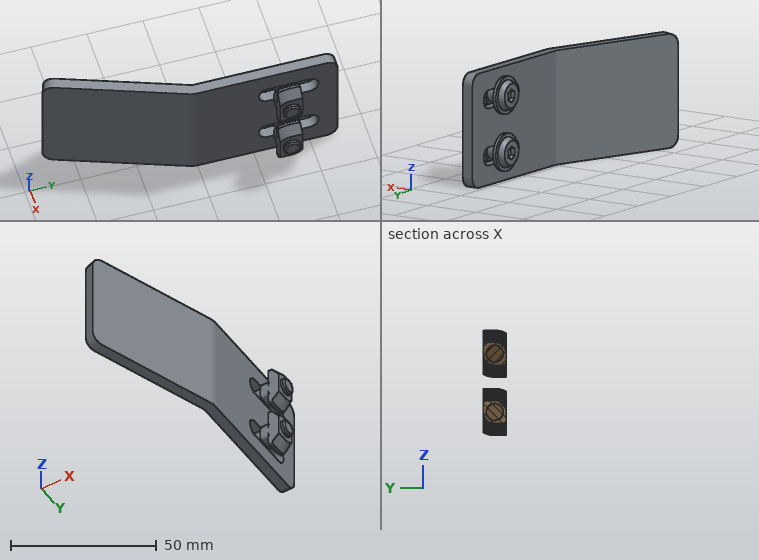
import cadquery as cq
import math


OVERALL_LENGTH = 100.3
PLATE_WIDTH = 40.0
PLATE_THICKNESS = 4.0
FLAT_LENGTH = 50.0
BEND_ANGLE = 20.0
BEND_INNER_RADIUS = 4.0
CORNER_RADIUS = 4.0

SLOT_WIDTH = 6.4
SLOT_FIRST_CENTER = 10.0
SLOT_LAST_CENTER = 25.0
ROW_SPACING = 20.0

SCREW_FROM_END = 19.1
SHANK_DIAMETER = 6.0
SHANK_LENGTH = 14.0
TIP_DIAMETER = 4.9
TIP_CHAMFER_LENGTH = 0.6
FLANGE_DIAMETER = 13.2
FLANGE_THICKNESS = 1.2
HEAD_BASE_DIAMETER = 10.7
HEAD_TOP_DIAMETER = 8.5
HEAD_HEIGHT = 3.2
HEAD_BULGE = 0.2
SOCKET_ACROSS_FLATS = 4.0
SOCKET_DEPTH = 1.8

NUT_GAP = 0.9
NUT_LENGTH = 16.0
NUT_WIDTH = 8.0
NECK_LENGTH = 3.2
NECK_CORNER_RADIUS = 1.2
WING_THICKNESS = 4.4
WING_EDGE_THICKNESS = 1.4
WING_CORNER_RADIUS = 0.6
TOOTH_COUNT = 8
TOOTH_DEPTH = 0.4

HALF_NUT_WIDTH = NUT_WIDTH / 2
HALF_NUT_LENGTH = NUT_LENGTH / 2
TOOTH_PITCH = NUT_WIDTH / TOOTH_COUNT
ROW_HEIGHTS = (-ROW_SPACING / 2, ROW_SPACING / 2)


def make_plate():
    angle = math.radians(BEND_ANGLE)
    bend_outer_radius = BEND_INNER_RADIUS + PLATE_THICKNESS

    def bend_point(radius, turn):
        """Point on the bend arc of the given radius; the bend center lies on the head side."""
        x = -BEND_INNER_RADIUS + radius * math.cos(turn)
        y = -FLAT_LENGTH - radius * math.sin(turn)
        return x, y

    inner_end = bend_point(BEND_INNER_RADIUS, angle)
    outer_end = bend_point(bend_outer_radius, angle)
    arm_length = (OVERALL_LENGTH + outer_end[1]) / math.cos(angle)
    arm_x = -arm_length * math.sin(angle)
    arm_y = -arm_length * math.cos(angle)

    plate = (
        cq.Workplane("XY")
        .moveTo(0, 0)
        .lineTo(0, -FLAT_LENGTH)
        .threePointArc(bend_point(BEND_INNER_RADIUS, angle / 2), inner_end)
        .line(arm_x, arm_y)
        .lineTo(outer_end[0] + arm_x, outer_end[1] + arm_y)
        .lineTo(*outer_end)
        .threePointArc(bend_point(bend_outer_radius, angle / 2), (PLATE_THICKNESS, -FLAT_LENGTH))
        .lineTo(PLATE_THICKNESS, 0)
        .close()
        .extrude(PLATE_WIDTH / 2, both=True)
    )

    flat_end_corners = plate.faces(">Y").edges("|X")
    arm_end_corners = plate.faces("<Y").edges("#Z")
    plate = plate.newObject(flat_end_corners.vals() + arm_end_corners.vals()).fillet(CORNER_RADIUS)

    slot_travel = SLOT_LAST_CENTER - SLOT_FIRST_CENTER
    slot_middle = (SLOT_FIRST_CENTER + SLOT_LAST_CENTER) / 2
    slots = (
        cq.Workplane("YZ")
        .pushPoints([(-slot_middle, z) for z in ROW_HEIGHTS])
        .slot2D(slot_travel + SLOT_WIDTH, SLOT_WIDTH)
        .extrude(PLATE_THICKNESS)
    )
    return plate.cut(slots)


def make_screw():
    """Screw on the X axis, with the underside of its flange at X = 0."""
    head_mid_radius = (HEAD_BASE_DIAMETER + HEAD_TOP_DIAMETER) / 4 + HEAD_BULGE
    head_mid_x = -(FLANGE_THICKNESS + HEAD_HEIGHT) / 2
    screw = (
        cq.Workplane("XY")
        .moveTo(-HEAD_HEIGHT, 0)
        .lineTo(-HEAD_HEIGHT, HEAD_TOP_DIAMETER / 2)
        .threePointArc((head_mid_x, head_mid_radius), (-FLANGE_THICKNESS, HEAD_BASE_DIAMETER / 2))
        .lineTo(-FLANGE_THICKNESS, FLANGE_DIAMETER / 2)
        .lineTo(0, FLANGE_DIAMETER / 2)
        .lineTo(0, SHANK_DIAMETER / 2)
        .lineTo(SHANK_LENGTH - TIP_CHAMFER_LENGTH, SHANK_DIAMETER / 2)
        .lineTo(SHANK_LENGTH, TIP_DIAMETER / 2)
        .lineTo(SHANK_LENGTH, 0)
        .close()
        .revolve(360, (0, 0), (1, 0))
    )
    socket_across_corners = SOCKET_ACROSS_FLATS / math.cos(math.pi / 6)
    socket = (
        cq.Workplane("YZ", origin=(-HEAD_HEIGHT, 0, 0))
        .transformed(rotate=(0, 0, 90))
        .polygon(6, socket_across_corners)
        .extrude(SOCKET_DEPTH)
    )
    return screw.cut(socket)


def with_opposite(quarter):
    """The quarter and its copy turned half a turn about the X axis."""
    return quarter.union(quarter.rotate((0, 0, 0), (1, 0, 0), 180))


def make_nut_wing():
    """Toothed bar: two opposite quarters are straight, the other two turned to clear the slot."""
    slope = WING_THICKNESS - WING_EDGE_THICKNESS
    wing_end = NECK_LENGTH + WING_THICKNESS
    half_profile = (
        cq.Workplane("XZ")
        .moveTo(NECK_LENGTH, 0)
        .lineTo(NECK_LENGTH, HALF_NUT_LENGTH)
        .lineTo(NECK_LENGTH + WING_EDGE_THICKNESS, HALF_NUT_LENGTH)
        .lineTo(wing_end, HALF_NUT_LENGTH - slope)
        .lineTo(wing_end, 0)
        .close()
    )
    width_limit = cq.Workplane("XY").box(2 * NUT_LENGTH, NUT_WIDTH, 2 * NUT_LENGTH)
    turned_quarter = half_profile.revolve(90, (0, 0), (1, 0)).intersect(width_limit)
    straight_quarter = half_profile.toPending().extrude(-HALF_NUT_WIDTH)
    straight_quarter = straight_quarter.faces(">Z").edges(">Y").fillet(WING_CORNER_RADIUS)
    wing = with_opposite(straight_quarter).union(with_opposite(turned_quarter))

    for index in range(TOOTH_COUNT):
        groove_start = -HALF_NUT_WIDTH + index * TOOTH_PITCH
        groove = (
            cq.Workplane("XY")
            .moveTo(NECK_LENGTH, groove_start)
            .lineTo(NECK_LENGTH + TOOTH_DEPTH, groove_start + TOOTH_PITCH / 2)
            .lineTo(NECK_LENGTH, groove_start + TOOTH_PITCH)
            .close()
            .extrude(NUT_LENGTH, both=True)
        )
        wing = wing.cut(groove)
    return wing


def make_nut_neck():
    """Square neck with two opposite corners fully rounded; it reaches down to the tooth roots."""
    neck_depth = NECK_LENGTH + TOOTH_DEPTH
    half_profile = cq.Workplane("XZ").rect(neck_depth, HALF_NUT_WIDTH, centered=False)
    round_quarter = half_profile.revolve(90, (0, 0), (1, 0))
    square_quarter = half_profile.toPending().extrude(-HALF_NUT_WIDTH)
    square_quarter = square_quarter.faces(">Z").edges(">Y").fillet(NECK_CORNER_RADIUS)
    return with_opposite(square_quarter).union(with_opposite(round_quarter))


def make_nut():
    """Nut on the X axis, with the end of its neck at X = 0."""
    nut = make_nut_wing().union(make_nut_neck())
    bore = cq.Workplane("YZ").circle(SHANK_DIAMETER / 2).extrude(NECK_LENGTH + WING_THICKNESS)
    return nut.cut(bore)


plate = make_plate()
screws = []
nuts = []
for row_height in ROW_HEIGHTS:
    screws.append(make_screw().translate((0, -SCREW_FROM_END, row_height)).val())
    nuts.append(make_nut().translate((PLATE_THICKNESS + NUT_GAP, -SCREW_FROM_END, row_height)).val())

result = cq.Compound.makeCompound([plate.val(), *screws, *nuts])